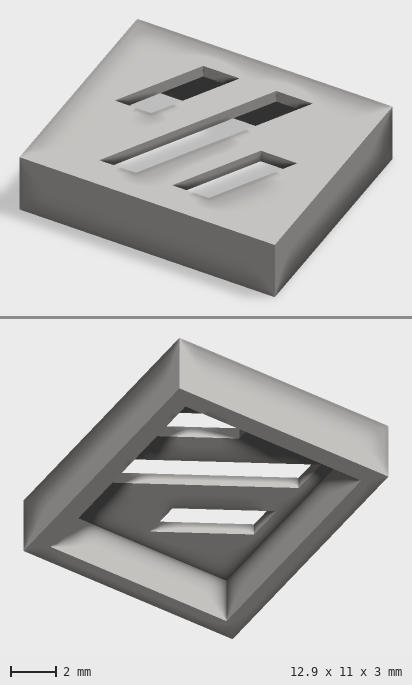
import cadquery as cq
import math

length = 12.9
depth = 11.0
height = 3.0
wall = 0.88
roof = 0.6

slot_reach = 4.0
slot_width = 1.85
slot_pitch = 2 * slot_width
slot_angle = math.radians(60)


def slanted_slot(center_x, y_low, y_high):
    """Parallelogram cutter whose centre line crosses y = 0 at center_x."""
    x_low = center_x + y_low / math.tan(slot_angle)
    x_high = center_x + y_high / math.tan(slot_angle)
    half = slot_width / 2
    corners = [
        (x_low - half, y_low),
        (x_low + half, y_low),
        (x_high + half, y_high),
        (x_high - half, y_high),
    ]
    return cq.Workplane("XY").polyline(corners).close().extrude(height)


body = cq.Workplane("XY").box(length, depth, height, centered=(True, True, False))
cavity = cq.Workplane("XY").box(
    length - 2 * wall, depth - 2 * wall, height - roof, centered=(True, True, False)
)
result = body.cut(cavity)

slots = [
    (-slot_pitch, 0, slot_reach),
    (0, -slot_reach, slot_reach),
    (slot_pitch, -slot_reach, 0),
]
for center_x, y_low, y_high in slots:
    result = result.cut(slanted_slot(center_x, y_low, y_high))